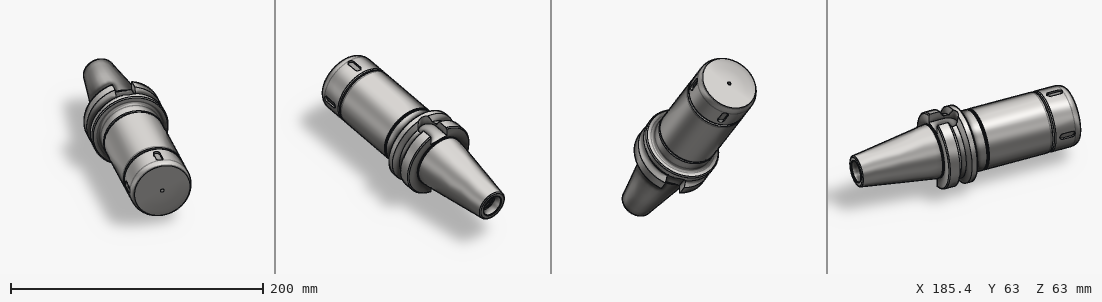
import cadquery as cq
import math

LENGTH = 185.4

TAPER_RATIO = 7 / 24
TAPER_LENGTH = 65.5
TAPER_LARGE_DIA = 44.5
TAPER_FACE_DIA = 23.5
TAPER_END_CHAMFER = 0.7
RELIEF_DIA = 43.5
RELIEF_BEVEL = 0.5

FLANGE_DIA = 63.0
FLANGE_START = 67.1
FLANGE_END = 92.3
FLANGE_CHAMFER = 1.0
V_DIA = 53.0
V_TOP_START = 76.5
V_FLOOR_START = 80.0
V_FLOOR_END = 84.2
V_TOP_END = 87.0

KEY_WIDTH = 16.1
KEY_FLOOR_HEIGHT = 22.6
KEY_END = 88.5

BODY_DIA = 50.0
BODY_FILLET = 2.5
GROOVE_START = 102.7
GROOVE_FLOOR_START = 103.8
GROOVE_FLOOR_END = 104.4
GROOVE_DEPTH = 1.1
GROOVE_EDGE_LENGTH = 0.5
EDGE_DROP = 0.2
BODY_BEVEL_START = 158.7
BODY_END = 160.2

NECK_DIA = 40.0
NECK_CHAMFER = 0.4

NUT_START = 161.9
NUT_CHAMFER_LENGTH = 1.1
NUT_CHAMFER_DROP = 0.5
NUT_ROUND_START = 179.8
NUT_ROUND_RADIUS = 8.5
NUT_EDGE_CHAMFER = 0.5

SLOT_COUNT = 4
SLOT_START = 166.3
SLOT_END = 179.7
SLOT_WIDTH = 5.4
SLOT_DEPTH = 1.9

MOUTH_DIA = 18.5
PILOT_DIA = 17.5
PILOT_DEPTH = 7.5
COUNTERBORE_DIA = 16.0
COUNTERBORE_DEPTH = 9.0
DRILL_DIA = 14.3
DRILL_DEPTH = 33.4
DRILL_POINT_ANGLE = 118
CONE_END_DIA = 6.0
COOLANT_DIA = 2.8
STEP_BEVEL = 0.7


def revolve_about_x(profile):
    """Turn a closed (x, radius) profile around the X axis."""
    return profile.close().revolve(360, (0, 0, 0), (1, 0, 0))


def make_body():
    taper_r = TAPER_LARGE_DIA / 2
    flange_r = FLANGE_DIA / 2
    body_r = BODY_DIA / 2
    neck_r = NECK_DIA / 2
    chamfer_r = taper_r - (TAPER_LENGTH - TAPER_END_CHAMFER) * TAPER_RATIO / 2
    fillet_mid = BODY_FILLET * (1 - math.sqrt(0.5))

    round_end = LENGTH - NUT_EDGE_CHAMFER
    round_angle = math.asin((round_end - NUT_ROUND_START) / NUT_ROUND_RADIUS)

    def on_round(angle):
        return (
            NUT_ROUND_START + NUT_ROUND_RADIUS * math.sin(angle),
            body_r - NUT_ROUND_RADIUS * (1 - math.cos(angle)),
        )

    face_r = on_round(round_angle)[1] - NUT_EDGE_CHAMFER

    profile = (
        cq.Workplane("XY")
        .moveTo(0, 0)
        .lineTo(0, TAPER_FACE_DIA / 2)
        .lineTo(TAPER_END_CHAMFER, chamfer_r)
        .lineTo(TAPER_LENGTH, taper_r)
        .lineTo(TAPER_LENGTH + RELIEF_BEVEL, RELIEF_DIA / 2)
        .lineTo(FLANGE_START - RELIEF_BEVEL, RELIEF_DIA / 2)
        .lineTo(FLANGE_START, taper_r)
        .lineTo(FLANGE_START, flange_r - FLANGE_CHAMFER)
        .lineTo(FLANGE_START + FLANGE_CHAMFER, flange_r)
        .lineTo(V_TOP_START, flange_r)
        .lineTo(V_FLOOR_START, V_DIA / 2)
        .lineTo(V_FLOOR_END, V_DIA / 2)
        .lineTo(V_TOP_END, flange_r)
        .lineTo(FLANGE_END - FLANGE_CHAMFER, flange_r)
        .lineTo(FLANGE_END, flange_r - FLANGE_CHAMFER)
        .lineTo(FLANGE_END, body_r + BODY_FILLET)
        .threePointArc(
            (FLANGE_END + fillet_mid, body_r + fillet_mid),
            (FLANGE_END + BODY_FILLET, body_r),
        )
        .lineTo(GROOVE_START, body_r)
        .lineTo(GROOVE_FLOOR_START, body_r - GROOVE_DEPTH)
        .lineTo(GROOVE_FLOOR_END, body_r - GROOVE_DEPTH)
        .lineTo(GROOVE_FLOOR_END, body_r - EDGE_DROP)
        .lineTo(GROOVE_FLOOR_END + GROOVE_EDGE_LENGTH, body_r)
        .lineTo(BODY_BEVEL_START, body_r)
        .lineTo(BODY_END, body_r - EDGE_DROP)
        .lineTo(BODY_END, neck_r + NECK_CHAMFER)
        .lineTo(BODY_END + NECK_CHAMFER, neck_r)
        .lineTo(NUT_START, neck_r)
        .lineTo(NUT_START, body_r - NUT_CHAMFER_DROP)
        .lineTo(NUT_START + NUT_CHAMFER_LENGTH, body_r)
        .lineTo(NUT_ROUND_START, body_r)
        .threePointArc(on_round(round_angle / 2), on_round(round_angle))
        .lineTo(LENGTH, face_r)
        .lineTo(LENGTH, 0)
    )
    return revolve_about_x(profile)


def make_bore():
    """Pilot, counterbore and drilled stretch ending in a cone, with a coolant hole right through."""
    mouth_chamfer = (MOUTH_DIA - PILOT_DIA) / 2
    half_point_angle = math.radians(DRILL_POINT_ANGLE / 2)
    cone_depth = DRILL_DEPTH + (DRILL_DIA - CONE_END_DIA) / 2 / math.tan(half_point_angle)
    profile = (
        cq.Workplane("XY")
        .moveTo(0, 0)
        .lineTo(0, MOUTH_DIA / 2)
        .lineTo(mouth_chamfer, PILOT_DIA / 2)
        .lineTo(PILOT_DEPTH, PILOT_DIA / 2)
        .lineTo(PILOT_DEPTH + STEP_BEVEL, COUNTERBORE_DIA / 2)
        .lineTo(COUNTERBORE_DEPTH, COUNTERBORE_DIA / 2)
        .lineTo(COUNTERBORE_DEPTH + STEP_BEVEL, DRILL_DIA / 2)
        .lineTo(DRILL_DEPTH, DRILL_DIA / 2)
        .lineTo(cone_depth, CONE_END_DIA / 2)
        .lineTo(cone_depth, COOLANT_DIA / 2)
        .lineTo(LENGTH, COOLANT_DIA / 2)
        .lineTo(LENGTH, 0)
    )
    return revolve_about_x(profile)


def make_keyway():
    """Flat-floored keyway on the +Z side, open at the flange front, with a round end."""
    half_width = KEY_WIDTH / 2
    return (
        cq.Workplane("XY", origin=(0, 0, KEY_FLOOR_HEIGHT))
        .moveTo(TAPER_LENGTH, -half_width)
        .lineTo(KEY_END - half_width, -half_width)
        .threePointArc((KEY_END, 0), (KEY_END - half_width, half_width))
        .lineTo(TAPER_LENGTH, half_width)
        .close()
        .extrude(FLANGE_DIA / 2)
    )


def make_spanner_slot():
    """Round-ended blind slot on the +Z side of the nut, lying along the axis."""
    slot_center = (SLOT_START + SLOT_END) / 2
    return (
        cq.Workplane("XY", origin=(slot_center, 0, BODY_DIA / 2 - SLOT_DEPTH))
        .slot2D(SLOT_END - SLOT_START, SLOT_WIDTH)
        .extrude(2 * SLOT_DEPTH)
    )


def turned(shape, angle):
    """Copy of a shape turned about the X axis."""
    return shape.rotate((0, 0, 0), (1, 0, 0), angle)


result = make_body().cut(make_bore())

keyway = make_keyway()
for side_angle in (0, 180):
    result = result.cut(turned(keyway, side_angle))

spanner_slot = make_spanner_slot()
for index in range(SLOT_COUNT):
    result = result.cut(turned(spanner_slot, index * 360 / SLOT_COUNT))